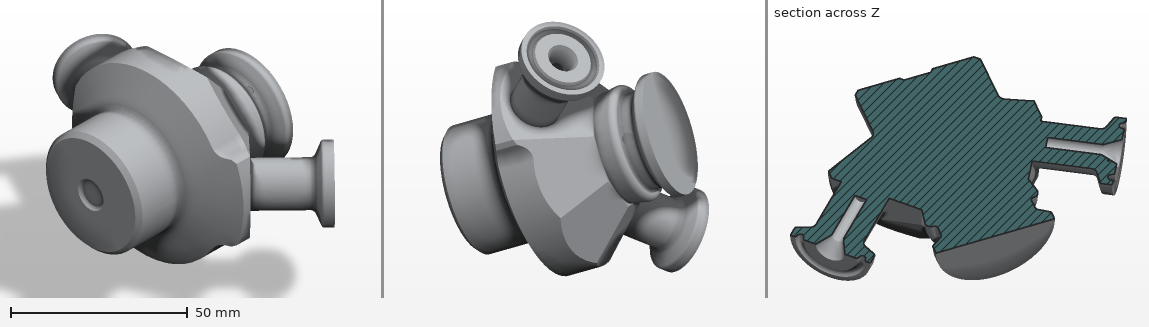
import cadquery as cq
import math

length = 64.0
main_axis = ((0, 0, 0), (0, 1, 0))

spigot_radius = 19.0
spigot_chamfer = 1.5
collar_radius = 31.0
collar_bottom = 22.7
flare_angle = math.radians(25)
flare_fillet = 2.1
recess_mouth_radius = 5.0
recess_floor_radius = 8.0 / 2
recess_depth = 1.0

boss_radius = 36.0
boss_half_width = 14.6
boss_root_fillet = 5.2
boss_taper_start = 31.7
boss_taper_angle = math.radians(30)

shoulder_top = 47.6
facet_apothem = 16.2
facet_count = 8
facet_slope = 45
left_facet_slope = 60
left_flat = 27.8

neck_radius = 17.4
neck_round = 1.8
groove_radius = 28.5 / 2
groove_bottom = 54.5
groove_top = 58.6
groove_fillet = 0.8
ferrule_radius = 36.0 / 2
ferrule_rim_edge = 61.2
ferrule_rim_round = 0.7
spot_diameter = 3.5
spot_depth = 0.2
spot_y = 56.5
spot_count = 4
first_spot_angle = 32

branch_radius = 15.0 / 2
branch_ferrule_radius = 25.0 / 2
branch_rim = 3.4
branch_rim_round = 0.8
branch_cone_end = 5.2
branch_cone_end_radius = 8.6
branch_root = 6.6
branch_length = 37.6
gasket_inner = 8.4
gasket_outer = 21.8 / 2
gasket_depth = 1.7
gasket_flank_depth = 0.8
gasket_flank_run = 0.4
bore_mouth_radius = 9.0 / 2
bore_radius = 3.5 / 2
bore_cone_depth = 5.0
bore_depth = 20.9
left_face_center = (-43.8, 47.3)
left_branch_angle = 150
right_face_center = (45.5, 52.1)
right_branch_angle = 45

far = 104.4


def flare_y(radius):
    """Height of the flared underside at a given radius."""
    return collar_bottom + (radius - collar_radius) * math.tan(flare_angle)


def circle_at(radius, height):
    """Selector for a circular edge around the main axis."""
    margin = 0.1
    reach = radius + margin
    return cq.selectors.BoxSelector(
        (-reach, height - margin, -reach), (reach, height + margin, reach), boundingbox=True
    )


def make_flared_disc(outer_radius):
    """Spigot, flare and a plain disc rising to the shoulder top."""
    disc = (
        cq.Workplane("XY")
        .moveTo(0, 0)
        .lineTo(spigot_radius - spigot_chamfer, 0)
        .lineTo(spigot_radius, spigot_chamfer)
        .lineTo(spigot_radius, flare_y(spigot_radius))
        .lineTo(outer_radius, flare_y(outer_radius))
        .lineTo(outer_radius, shoulder_top)
        .lineTo(0, shoulder_top)
        .close()
        .revolve(360, *main_axis)
    )
    at_flare_root = circle_at(spigot_radius, flare_y(spigot_radius))
    return disc.edges(at_flare_root).fillet(flare_fillet)


def make_boss_strip():
    """Prism bounding the boss, with tapered tip corners and concave fillets into the round collar."""
    fillet_z = boss_half_width + boss_root_fillet
    center_distance = collar_radius + boss_root_fillet
    fillet_x = math.sqrt(center_distance**2 - fillet_z**2)
    touch_x = fillet_x * collar_radius / center_distance
    touch_z = fillet_z * collar_radius / center_distance
    tip_half_width = boss_half_width - (boss_radius - boss_taper_start) * math.tan(boss_taper_angle)
    middle_angle = (math.atan2(touch_z - fillet_z, touch_x - fillet_x) - math.pi / 2) / 2
    middle_x = fillet_x + boss_root_fillet * math.cos(middle_angle)
    middle_z = fillet_z + boss_root_fillet * math.sin(middle_angle)
    return (
        cq.Workplane("XZ")
        .moveTo(0, -touch_z)
        .lineTo(touch_x, -touch_z)
        .threePointArc((middle_x, -middle_z), (fillet_x, -boss_half_width))
        .lineTo(boss_taper_start, -boss_half_width)
        .lineTo(boss_radius, -tip_half_width)
        .lineTo(boss_radius, tip_half_width)
        .lineTo(boss_taper_start, boss_half_width)
        .lineTo(fillet_x, boss_half_width)
        .threePointArc((middle_x, middle_z), (touch_x, touch_z))
        .lineTo(0, touch_z)
        .close()
        .extrude(-far)
    )


def outside_facet(around_angle, slope):
    """Block lying outside one sloped facet, at an angle around +Y from +X."""
    around = math.radians(around_angle)
    tilt = math.radians(slope)
    outward = cq.Vector(math.cos(around), 0, math.sin(around))
    origin = outward * facet_apothem + cq.Vector(0, shoulder_top, 0)
    normal = outward * math.sin(tilt) + cq.Vector(0, math.cos(tilt), 0)
    along_edge = cq.Vector(0, 1, 0).cross(outward)
    plane = cq.Plane(origin=origin, xDir=along_edge, normal=normal)
    return cq.Workplane(plane).rect(2 * far, 2 * far).extrude(far)


def make_body():
    """Spigot, collar and boss under the faceted shoulder."""
    body = make_flared_disc(collar_radius)
    body = body.union(make_flared_disc(boss_radius).intersect(make_boss_strip()))
    for index in range(facet_count):
        is_left = index == facet_count // 2
        slope = left_facet_slope if is_left else facet_slope
        body = body.cut(outside_facet(index * 360 / facet_count, slope))
    beyond_flat = cq.Workplane("XY").box(far, 2 * far, 2 * far).translate((-left_flat - far / 2, 0, 0))
    recess = cq.Solid.makeCone(
        recess_mouth_radius, recess_floor_radius, recess_depth,
        cq.Vector(0, 0, 0), cq.Vector(0, 1, 0),
    )
    return body.cut(beyond_flat).cut(cq.Workplane(recess))


def make_neck():
    """Flared neck, groove with shallow round spots, and the main ferrule."""
    neck = (
        cq.Workplane("XY")
        .moveTo(0, shoulder_top)
        .lineTo(facet_apothem, shoulder_top)
        .lineTo(neck_radius, groove_bottom)
        .lineTo(groove_radius, groove_bottom)
        .lineTo(groove_radius, groove_top)
        .lineTo(ferrule_radius, ferrule_rim_edge)
        .lineTo(ferrule_radius, length)
        .lineTo(0, length)
        .close()
        .revolve(360, *main_axis)
    )
    neck = neck.edges(circle_at(groove_radius, groove_bottom)).fillet(groove_fillet)
    neck = neck.edges(circle_at(groove_radius, groove_top)).fillet(groove_fillet)
    neck = neck.edges(circle_at(neck_radius, groove_bottom)).fillet(neck_round)
    neck = neck.edges(circle_at(ferrule_radius, ferrule_rim_edge)).fillet(ferrule_rim_round)
    for index in range(spot_count):
        angle = math.radians(first_spot_angle + index * 360 / spot_count)
        outward = cq.Vector(math.sin(angle), 0, math.cos(angle))
        start = outward * (groove_radius - spot_depth) + cq.Vector(0, spot_y, 0)
        spot = cq.Solid.makeCylinder(spot_diameter / 2, far, start, outward)
        neck = neck.cut(cq.Workplane(spot))
    return neck


def branch_plane(face_center, angle):
    """Plane with local X radial and local Y pointing from the face inwards."""
    direction = math.radians(angle)
    inward = cq.Vector(-math.cos(direction), -math.sin(direction), 0)
    radial = inward.cross(cq.Vector(0, 0, 1))
    return cq.Plane(origin=(*face_center, 0), xDir=radial, normal=(0, 0, 1))


def make_branch(plane):
    """Pipe with a clamp ferrule and a ring groove for a gasket in its face."""
    branch = (
        cq.Workplane("XY")
        .moveTo(0, 0)
        .lineTo(gasket_inner, 0)
        .lineTo(gasket_inner + gasket_flank_run, gasket_flank_depth)
        .threePointArc(
            ((gasket_inner + gasket_outer) / 2, gasket_depth),
            (gasket_outer - gasket_flank_run, gasket_flank_depth),
        )
        .lineTo(gasket_outer, 0)
        .lineTo(branch_ferrule_radius, 0)
        .lineTo(branch_ferrule_radius, branch_rim)
        .lineTo(branch_cone_end_radius, branch_cone_end)
        .tangentArcPoint((branch_radius, branch_root), relative=False)
        .lineTo(branch_radius, branch_length)
        .lineTo(0, branch_length)
        .close()
        .revolve(360, *main_axis)
    )
    branch = branch.edges(circle_at(branch_ferrule_radius, branch_rim)).fillet(branch_rim_round)
    return branch.val().moved(plane.location)


def make_bore(plane):
    """Conical mouth leading into a narrow blind bore."""
    return (
        cq.Workplane(plane)
        .moveTo(0, 0)
        .lineTo(bore_mouth_radius, 0)
        .lineTo(bore_radius, bore_cone_depth)
        .lineTo(bore_radius, bore_depth)
        .lineTo(0, bore_depth)
        .close()
        .revolve(360, *main_axis)
    )


branch_planes = [
    branch_plane(left_face_center, left_branch_angle),
    branch_plane(right_face_center, right_branch_angle),
]
result = make_body().union(make_neck())
for plane in branch_planes:
    result = result.union(cq.Workplane(make_branch(plane)))
for plane in branch_planes:
    result = result.cut(make_bore(plane))